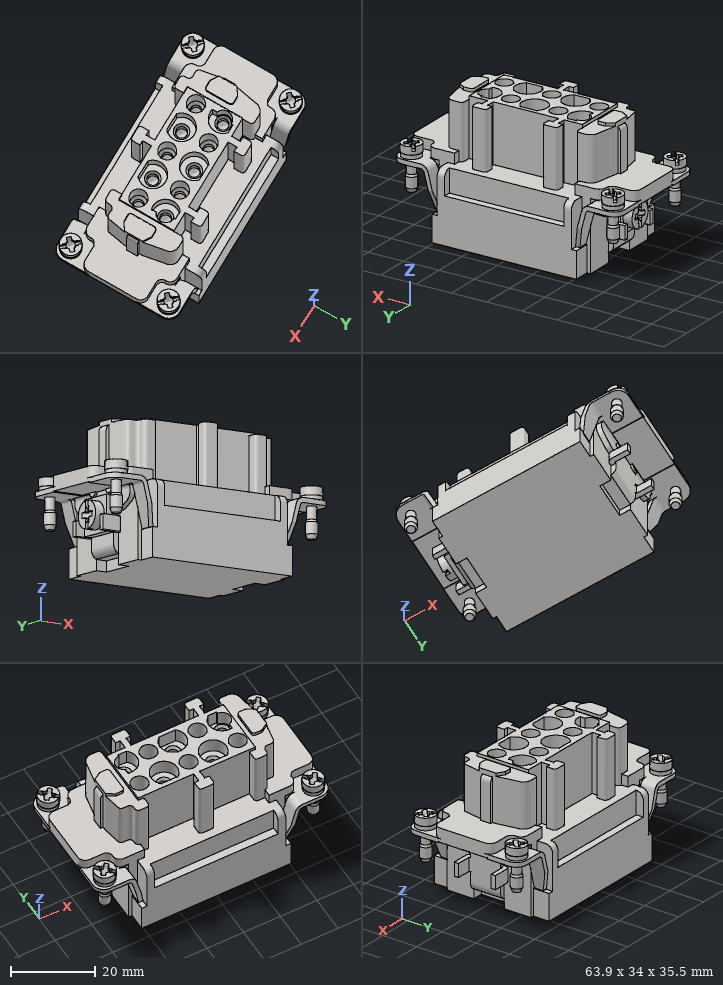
import cadquery as cq
import math

OVERALL_LENGTH = 63.85

TOP_Z = 35.55
TOWER_TOP_Z = 34.7
FLANGE_TOP_Z = 22.25
BODY_TOP_Z = 19.4
PLATE_BOTTOM_Z = 18.2
PLATE_TOP_Z = 19.45
LEDGE_Z = 12.9
FOOT_Z = 7.4

END_X = 21.4
END_HALF_WIDTH = 12.4
BODY_HALF_WIDTH = 17.0
FOOT_X = 20.4
POST_OUTER_X = 18.95
POST_INNER_X = 16.85
LEDGE_Y = 14.9
CHANNEL_DEPTH = 3.0
POST_ROUND = BODY_HALF_WIDTH - LEDGE_Y

CORE_HALF_LENGTH = 16.0
CORE_HALF_WIDTH = 7.6
RIB_HEAD_INNER_Y = 10.0
RIB_HEAD_OUTER_Y = 12.65
RIB_HEAD_WIDTH = 4.1
RIB_STEM_WIDTH = 1.65
RIB_ROUND = 0.8
UPPER_RIB_X = 10.02

CONTACT_PITCH = 6.7
CONTACT_ROW_Y = 3.73
SMALL_OPENING_DIA = 4.45
SMALL_OPENING_DEPTH = 6.0
LARGE_OPENING_DIA = 7.0
LARGE_OPENING_DEPTH = 4.0
LARGE_OPENING_FLAT = 2.7
CORNER_STEP = 0.8
LARGE_FUNNEL_DIA = 3.9
PIN_BORE_DIA = 2.85
PIN_BORE_DEPTH = 2.0
FUNNEL_DEPTH = 0.8
DRILL_TIP_DEPTH = 0.9

FLANGE_END_X = OVERALL_LENGTH / 2
FLANGE_INNER_X = 17.0
FLANGE_ROUND = 2.1
NOTCH_X = 24.55
NOTCH_Y = 8.65
NOTCH_OUTER_ROUND = 1.95
NOTCH_INNER_ROUND = 1.55
FLANGE_CENTER_BOTTOM_Z = 18.45
PLATE_HALF_WIDTH = 16.75
PLATE_INNER_Y = 7.25
PLATE_CORNER = 3.0
LEG_INNER_Y = 12.5
LEG_SLOPE = 0.265
LEG_TIP_X = 20.2
LEG_TIP_Z = 7.5
LEG_WIDTH_X = 1.25
LEG_BEND_INNER = 1.0
LEG_TAPER_Z = 13.2
LEG_TIP_OUTER_Y = 15.15
SCREW_X = 28.48
SCREW_Y = 13.48
HEAD_DIA = 5.5
HEAD_NECK_DIA = 5.3
HEAD_TOP_Z = 22.8
HEAD_STEP_Z = 20.6
SHANK_DIA = 2.5
THREAD_DIA = 3.05
THREAD_POINT_DIA = 2.13
SHANK_END_Z = 15.0
THREAD_TOP_Z = 14.4
THREAD_END_Z = 11.45
SCREW_TIP_Z = 10.3
HEAD_SLOT_WIDTH = 0.85
HEAD_SLOT_ANGLE = -45
HEAD_CROSS_LENGTH = 3.8
HEAD_CROSS_WIDTH = 1.15
DRIVE_DEPTH = 1.2
DRIVE_HOLE_DIA = 2.29
DRIVE_TIP_DEPTH = 2.2

TOWER_HALF_WIDTH = 10.45
TOWER_ROUND = 1.0
HOOK_INNER_X = 14.4
HOOK_INNER_ROUND = 0.8
HOOK_OUTER_X = 18.0
HEEL_X = 21.25
HEEL_Y = 7.9
SHOULDER_X = 21.0
SHOULDER_ROUND = 2.4
TAB_SLANT_X = 20.0
TAB_HALF_WIDTH = 3.8
TAB_FACE_X = 22.03
TAB_FACE_HALF_WIDTH = 2.5
TAB_INNER_X = 17.5
TAB_ROUND = 0.8
NOSE_X = 22.8
NOSE_HALF_WIDTH = 1.5
NOSE_TOP_Z = 34.2
NOSE_ROUND = 1.7
NOSE_SHOULDER_Z = 32.8

PAD_X = 22.8
PAD_HALF_WIDTH = 11.2
PAD_SIDE_END_Z = 16.6
PAD_SLANT_OUTER_Y = 9.9
PAD_SLANT_TOP_Z = 14.5
PAD_SLANT_INNER_Y = 7.4
PAD_SLANT_BOTTOM_Z = 13.2
PAD_BOTTOM_OUTER_Y = 6.2
PAD_BOTTOM_INNER_Y = 5.0
PAD_ROUND = 2.6
PAD_COVE_HEIGHT = 0.9
PAD_COVE_REACH = 0.6
PAD_COVE_ROUND = 0.95
PAD_BOSS_DIA = 2.5
PAD_BOSS_Y = 3.35
PAD_BOSS_Z = 18.6
BLOCK_HALF_WIDTH = 4.5
BLOCK_CURVE_TOP_Z = 4.9
BLOCK_CURVE_BOTTOM_Z = 2.7
BLOCK_CURVE_RADIUS = 2.43
CLAMP_X = 24.8
CLAMP_BOTTOM_Z = 7.75
CLAMP_TOP_Z = 16.7
LUG_X = 27.0
LUG_INNER_Y = 4.85
LUG_OUTER_Y = 6.1
LUG_TOP_Z = 11.5
LUG_ROUND = 1.1
EARTH_SCREW_X = 27.35
EARTH_SCREW_Z = 12.2
EARTH_SCREW_DIA = 7.0
EARTH_SLOT_WIDTH = 1.05
EARTH_CROSS_LENGTH = 4.2
EARTH_CROSS_WIDTH = 1.3


def box(x0, x1, y0, y1, z0, z1):
    """Axis-aligned box between two corner positions."""
    return cq.Workplane("XY").box(x1 - x0, y1 - y0, z1 - z0, centered=False).translate((x0, y0, z0))


def prism(outline, z0, z1):
    """Extrude a closed outline given on the XY plane between two heights."""
    return outline.extrude(z1 - z0).translate((0, 0, z0))


def mirrored(shape, plane):
    """A shape together with its mirror image."""
    return shape.union(shape.mirror(plane))


def both_ends(shape):
    return mirrored(shape, "YZ")


def both_sides(shape):
    return mirrored(shape, "XZ")


def make_lower_body():
    """Main block with four rounded posts, feet and recessed long sides."""
    body = box(-END_X, END_X, -END_HALF_WIDTH, END_HALF_WIDTH, 0, BODY_TOP_Z)
    body = body.union(box(-FOOT_X, FOOT_X, -BODY_HALF_WIDTH, BODY_HALF_WIDTH, 0, FOOT_Z))
    posts = box(-POST_OUTER_X, POST_OUTER_X, -BODY_HALF_WIDTH, BODY_HALF_WIDTH, 0, BODY_TOP_Z)
    posts = posts.edges("|X and >Z").fillet(POST_ROUND)
    recess = box(-POST_INNER_X, POST_INNER_X, LEDGE_Y, BODY_HALF_WIDTH, LEDGE_Z, BODY_TOP_Z)
    channel_end_x = -END_X + CHANNEL_DEPTH
    channel = box(-END_X, channel_end_x, -BLOCK_HALF_WIDTH, BLOCK_HALF_WIDTH, 0, BLOCK_CURVE_BOTTOM_Z)
    return body.union(posts).cut(both_sides(recess)).cut(both_ends(channel))


def make_t_rib(x, side):
    """T-shaped rib on the long face of the core; side is +1 or -1 along Y."""
    half_stem = RIB_STEM_WIDTH / 2
    half_head = RIB_HEAD_WIDTH / 2
    stem = box(-half_stem, half_stem, 0, RIB_HEAD_INNER_Y, BODY_TOP_Z, TOP_Z)
    head = box(-half_head, half_head, RIB_HEAD_INNER_Y, RIB_HEAD_OUTER_Y, BODY_TOP_Z, TOP_Z)
    head = head.edges("|Z and >Y").fillet(RIB_ROUND)
    rib = stem.union(head)
    if side < 0:
        rib = rib.mirror("XZ")
    return rib.translate((x, 0, 0))


def make_core():
    """Contact core with two ribs on its +Y face and one on its -Y face."""
    core = box(-CORE_HALF_LENGTH, CORE_HALF_LENGTH, -CORE_HALF_WIDTH, CORE_HALF_WIDTH, BODY_TOP_Z, TOP_Z)
    for x, side in ((-UPPER_RIB_X, 1), (UPPER_RIB_X, 1), (0, -1)):
        core = core.union(make_t_rib(x, side))
    return core


def make_bore(top_dia, opening_depth):
    """Funnel, pin bore and conical bottom below an opening, as a cutter at the origin."""
    funnel_end = -opening_depth - FUNNEL_DEPTH
    bore_end = funnel_end - PIN_BORE_DEPTH
    profile = (
        cq.Workplane("XZ")
        .moveTo(0, 0)
        .lineTo(top_dia / 2, 0)
        .lineTo(top_dia / 2, -opening_depth)
        .lineTo(PIN_BORE_DIA / 2, funnel_end)
        .lineTo(PIN_BORE_DIA / 2, bore_end)
        .lineTo(0, bore_end - DRILL_TIP_DEPTH)
        .close()
    )
    return profile.revolve(360, (0, 0, 0), (0, 1, 0))


def make_contact_cutter(column, row):
    """Cutter for one contact; large and small openings alternate along both rows."""
    is_large = (column % 2 == 0) == (row > 0)
    if not is_large:
        cutter = make_bore(SMALL_OPENING_DIA, SMALL_OPENING_DEPTH)
    else:
        radius = LARGE_OPENING_DIA / 2
        opening = cq.Workplane("XY").circle(radius).extrude(-LARGE_OPENING_DEPTH)
        flat_y = LARGE_OPENING_FLAT * row
        y_limits = sorted((flat_y, -radius * row))
        keep = box(-radius, radius, *y_limits, -LARGE_OPENING_DEPTH, 0)
        opening = opening.intersect(keep)
        if abs(column) == 2:
            outward = math.copysign(1, column)
            inner_half = box(-radius, 0, -radius, radius, -LARGE_OPENING_DEPTH, 0)
            lower_strip = box(0, CORNER_STEP, -radius, 0, -LARGE_OPENING_DEPTH, 0)
            keep = inner_half.union(lower_strip)
            if outward < 0:
                keep = keep.mirror("YZ")
            small = cq.Workplane("XY").circle(SMALL_OPENING_DIA / 2).extrude(-LARGE_OPENING_DEPTH)
            opening = opening.intersect(keep).union(small)
        cutter = opening.union(make_bore(LARGE_FUNNEL_DIA, LARGE_OPENING_DEPTH))
    return cutter.translate((column * CONTACT_PITCH, row * CONTACT_ROW_Y, TOP_Z))


def make_tower():
    """Locking tower on the -X end, with its hooked corner, raised tab and nose."""
    outline = (
        cq.Workplane("XY")
        .moveTo(-CORE_HALF_LENGTH, -CORE_HALF_WIDTH)
        .lineTo(-HOOK_INNER_X, -CORE_HALF_WIDTH)
        .lineTo(-HOOK_INNER_X, -TOWER_HALF_WIDTH + HOOK_INNER_ROUND)
        .radiusArc((-HOOK_INNER_X - HOOK_INNER_ROUND, -TOWER_HALF_WIDTH), HOOK_INNER_ROUND)
        .lineTo(-HOOK_OUTER_X + TOWER_ROUND, -TOWER_HALF_WIDTH)
        .radiusArc((-HOOK_OUTER_X, -TOWER_HALF_WIDTH + TOWER_ROUND), TOWER_ROUND)
        .lineTo(-HOOK_OUTER_X, -HEEL_Y - TOWER_ROUND)
        .radiusArc((-HOOK_OUTER_X - TOWER_ROUND, -HEEL_Y), -TOWER_ROUND)
        .lineTo(-HEEL_X + TOWER_ROUND, -HEEL_Y)
        .radiusArc((-HEEL_X, -HEEL_Y + TOWER_ROUND), TOWER_ROUND)
        .lineTo(-TAB_FACE_X, -TAB_FACE_HALF_WIDTH)
        .lineTo(-TAB_FACE_X, TAB_FACE_HALF_WIDTH)
        .lineTo(-SHOULDER_X, TOWER_HALF_WIDTH - SHOULDER_ROUND)
        .radiusArc((-SHOULDER_X + SHOULDER_ROUND, TOWER_HALF_WIDTH), SHOULDER_ROUND)
        .lineTo(-CORE_HALF_LENGTH - TOWER_ROUND, TOWER_HALF_WIDTH)
        .radiusArc((-CORE_HALF_LENGTH, TOWER_HALF_WIDTH - TOWER_ROUND), TOWER_ROUND)
        .close()
    )
    tower = prism(outline, BODY_TOP_Z, TOWER_TOP_Z)
    tab_outline = (
        cq.Workplane("XY")
        .moveTo(-TAB_INNER_X, -TAB_HALF_WIDTH)
        .lineTo(-TAB_SLANT_X, -TAB_HALF_WIDTH)
        .lineTo(-TAB_FACE_X, -TAB_FACE_HALF_WIDTH)
        .lineTo(-TAB_FACE_X, TAB_FACE_HALF_WIDTH)
        .lineTo(-TAB_SLANT_X, TAB_HALF_WIDTH)
        .lineTo(-TAB_INNER_X, TAB_HALF_WIDTH)
        .close()
    )
    tab = prism(tab_outline, TOWER_TOP_Z, TOP_Z).edges("|Z and >X").fillet(TAB_ROUND)
    nose = (
        cq.Workplane("XZ")
        .moveTo(-TAB_FACE_X, BODY_TOP_Z)
        .lineTo(-NOSE_X, BODY_TOP_Z)
        .lineTo(-NOSE_X, NOSE_SHOULDER_Z)
        .radiusArc((-TAB_FACE_X, NOSE_TOP_Z), NOSE_ROUND)
        .close()
        .extrude(NOSE_HALF_WIDTH, both=True)
    )
    return tower.union(tab).union(nose)


def make_flange():
    """Plastic flange on the -X end, notched around the two screws."""
    outline = (
        cq.Workplane("XY")
        .moveTo(-FLANGE_INNER_X, 0)
        .lineTo(-FLANGE_INNER_X, END_HALF_WIDTH)
        .lineTo(-NOTCH_X + NOTCH_OUTER_ROUND, END_HALF_WIDTH)
        .radiusArc((-NOTCH_X, END_HALF_WIDTH - NOTCH_OUTER_ROUND), -NOTCH_OUTER_ROUND)
        .lineTo(-NOTCH_X, NOTCH_Y + NOTCH_INNER_ROUND)
        .radiusArc((-NOTCH_X - NOTCH_INNER_ROUND, NOTCH_Y), NOTCH_INNER_ROUND)
        .lineTo(-FLANGE_END_X + FLANGE_ROUND, NOTCH_Y)
        .radiusArc((-FLANGE_END_X, NOTCH_Y - FLANGE_ROUND), -FLANGE_ROUND)
        .lineTo(-FLANGE_END_X, 0)
        .close()
    )
    flange = both_sides(prism(outline, BODY_TOP_Z, FLANGE_TOP_Z))
    center = box(-FLANGE_END_X, -END_X, -PLATE_INNER_Y, PLATE_INNER_Y, FLANGE_CENTER_BOTTOM_Z, PLATE_TOP_Z)
    return flange.union(center)


def make_plate():
    """Metal fixing plate at the (-X, +Y) corner with its bent, tapered leg."""
    bend_x = LEG_TIP_X + LEG_SLOPE * (PLATE_BOTTOM_Z - LEG_TIP_Z)
    top_bend_x = LEG_TIP_X - LEG_WIDTH_X + LEG_SLOPE * (PLATE_TOP_Z - LEG_TIP_Z)
    plate = box(-FLANGE_END_X, -END_X, PLATE_INNER_Y, PLATE_HALF_WIDTH, PLATE_BOTTOM_Z, PLATE_TOP_Z)
    plate = plate.edges("|Z and <X and >Y").fillet(PLATE_CORNER)
    plate = plate.cut(box(-bend_x - LEG_BEND_INNER, 0, LEG_INNER_Y, BODY_HALF_WIDTH, 0, TOP_Z))
    leg = (
        cq.Workplane("XZ", origin=(0, PLATE_HALF_WIDTH, 0))
        .moveTo(-bend_x - LEG_BEND_INNER, PLATE_BOTTOM_Z)
        .lineTo(-bend_x, PLATE_BOTTOM_Z)
        .lineTo(-LEG_TIP_X, LEG_TIP_Z)
        .lineTo(-LEG_TIP_X + LEG_WIDTH_X, LEG_TIP_Z)
        .lineTo(-top_bend_x, PLATE_TOP_Z)
        .lineTo(-bend_x - LEG_BEND_INNER, PLATE_TOP_Z)
        .close()
        .extrude(PLATE_HALF_WIDTH - LEG_INNER_Y)
    )
    bend_y = (PLATE_HALF_WIDTH + LEG_INNER_Y) / 2
    leg = leg.edges(cq.NearestToPointSelector((-bend_x, bend_y, PLATE_BOTTOM_Z))).fillet(LEG_BEND_INNER)
    outer_bend = LEG_BEND_INNER + LEG_WIDTH_X
    leg = leg.edges(cq.NearestToPointSelector((-top_bend_x, bend_y, PLATE_TOP_Z))).fillet(outer_bend)
    taper = (
        cq.Workplane("YZ")
        .moveTo(PLATE_HALF_WIDTH, LEG_TAPER_Z)
        .lineTo(LEG_TIP_OUTER_Y, LEG_TIP_Z)
        .lineTo(PLATE_HALF_WIDTH, LEG_TIP_Z)
        .close()
        .extrude(-FLANGE_END_X)
    )
    return plate.union(leg.cut(taper))


def make_drive_cutter(slot_length, slot_width, cross_length, cross_width):
    """Slot along X with a tapered cross recess and a pointed centre hole, cut down from z = 0."""
    slot = cq.Workplane("XY").rect(slot_length, slot_width).extrude(-DRIVE_DEPTH)
    cross = cq.Workplane("XY").rect(cross_width, cross_length).extrude(-DRIVE_DEPTH)
    cross = cross.union(cross.rotate((0, 0, 0), (0, 0, 1), 90))
    hole_radius = DRIVE_HOLE_DIA / 2
    taper = (
        cq.Workplane("XZ")
        .lineTo(cross_length / 2, 0)
        .lineTo(hole_radius, -DRIVE_DEPTH)
        .lineTo(0, -DRIVE_DEPTH)
        .close()
        .revolve(360, (0, 0, 0), (0, 1, 0))
    )
    hole = (
        cq.Workplane("XZ")
        .lineTo(hole_radius, 0)
        .lineTo(hole_radius, -DRIVE_DEPTH)
        .lineTo(0, -DRIVE_TIP_DEPTH)
        .close()
        .revolve(360, (0, 0, 0), (0, 1, 0))
    )
    return slot.union(cross.intersect(taper)).union(hole)


def make_fixing_screw():
    """Captive screw on the Z axis, with a stepped head and a pointed thread."""
    screw = (
        cq.Workplane("XZ")
        .moveTo(0, SCREW_TIP_Z)
        .lineTo(THREAD_POINT_DIA / 2, SCREW_TIP_Z)
        .lineTo(THREAD_DIA / 2, THREAD_END_Z)
        .lineTo(THREAD_DIA / 2, THREAD_TOP_Z)
        .lineTo(SHANK_DIA / 2, SHANK_END_Z)
        .lineTo(SHANK_DIA / 2, PLATE_BOTTOM_Z)
        .lineTo(HEAD_NECK_DIA / 2, PLATE_BOTTOM_Z)
        .lineTo(HEAD_NECK_DIA / 2, HEAD_STEP_Z)
        .lineTo(HEAD_DIA / 2, HEAD_STEP_Z)
        .lineTo(HEAD_DIA / 2, HEAD_TOP_Z)
        .lineTo(0, HEAD_TOP_Z)
        .close()
        .revolve(360, (0, 0, 0), (0, 1, 0))
    )
    drive = make_drive_cutter(HEAD_DIA, HEAD_SLOT_WIDTH, HEAD_CROSS_LENGTH, HEAD_CROSS_WIDTH)
    drive = drive.rotate((0, 0, 0), (0, 0, 1), HEAD_SLOT_ANGLE).translate((0, 0, HEAD_TOP_Z))
    return screw.cut(drive)


def make_end_pad():
    """Raised pad with its coves and bosses, centre block and clamp lugs on the -X end face."""
    pad_outline = (
        cq.Workplane("YZ", origin=(-PAD_X, 0, 0))
        .moveTo(0, PLATE_TOP_Z)
        .lineTo(PAD_HALF_WIDTH, PLATE_TOP_Z)
        .lineTo(PAD_HALF_WIDTH, PAD_SIDE_END_Z)
        .radiusArc((PAD_SLANT_OUTER_Y, PAD_SLANT_TOP_Z), PAD_ROUND)
        .lineTo(PAD_SLANT_INNER_Y, PAD_SLANT_BOTTOM_Z)
        .radiusArc((PAD_BOTTOM_OUTER_Y, LEDGE_Z), PAD_ROUND)
        .lineTo(PAD_BOTTOM_INNER_Y, LEDGE_Z)
        .lineTo(BLOCK_HALF_WIDTH, EARTH_SCREW_Z)
        .lineTo(0, EARTH_SCREW_Z)
        .close()
    )
    pad = both_sides(pad_outline.extrude(PAD_X - END_X))
    cove = (
        cq.Workplane("XZ", origin=(0, PAD_HALF_WIDTH, 0))
        .moveTo(-PAD_X, PLATE_BOTTOM_Z - PAD_COVE_HEIGHT)
        .radiusArc((-PAD_X - PAD_COVE_REACH, PLATE_BOTTOM_Z), -PAD_COVE_ROUND)
        .lineTo(-PAD_X - PAD_COVE_REACH, PLATE_TOP_Z)
        .lineTo(-PAD_X, PLATE_TOP_Z)
        .close()
        .extrude(PAD_HALF_WIDTH - BLOCK_HALF_WIDTH)
    )
    block = (
        cq.Workplane("XZ")
        .moveTo(-END_X, BLOCK_CURVE_BOTTOM_Z)
        .radiusArc((-PAD_X, BLOCK_CURVE_TOP_Z), BLOCK_CURVE_RADIUS)
        .lineTo(-PAD_X, PLATE_TOP_Z)
        .lineTo(-END_X, PLATE_TOP_Z)
        .close()
        .extrude(BLOCK_HALF_WIDTH, both=True)
    )
    boss = (
        cq.Workplane("YZ", origin=(-PAD_X - PAD_COVE_REACH, 0, 0))
        .center(PAD_BOSS_Y, PAD_BOSS_Z)
        .circle(PAD_BOSS_DIA / 2)
        .extrude(PAD_COVE_REACH)
    )
    lug_outline = (
        cq.Workplane("XY")
        .moveTo(-LUG_X, LUG_INNER_Y)
        .lineTo(-LUG_X, LUG_OUTER_Y)
        .lineTo(-END_X - LUG_ROUND, LUG_OUTER_Y)
        .radiusArc((-END_X, LUG_OUTER_Y - LUG_ROUND), LUG_ROUND)
        .lineTo(-END_X, BLOCK_HALF_WIDTH)
        .lineTo(-PAD_X, BLOCK_HALF_WIDTH)
        .lineTo(-PAD_X, LUG_INNER_Y)
        .close()
    )
    lug = prism(lug_outline, CLAMP_BOTTOM_Z, LUG_TOP_Z)
    pad = pad.union(both_sides(cove.union(boss)))
    return pad.union(block).union(both_sides(lug))


def make_earth_clamp():
    """Earth clamp block and its cross-slotted screw on the -X end."""
    clamp = box(-CLAMP_X, -END_X, -BLOCK_HALF_WIDTH, BLOCK_HALF_WIDTH, CLAMP_BOTTOM_Z, CLAMP_TOP_Z)
    head = cq.Workplane("XY").circle(EARTH_SCREW_DIA / 2).extrude(CLAMP_X - EARTH_SCREW_X)
    drive = make_drive_cutter(EARTH_SCREW_DIA, EARTH_SLOT_WIDTH, EARTH_CROSS_LENGTH, EARTH_CROSS_WIDTH)
    head = head.cut(drive)
    head = head.rotate((0, 0, 0), (0, 1, 0), -90).translate((-EARTH_SCREW_X, 0, EARTH_SCREW_Z))
    return clamp.union(head)


result = make_lower_body().union(make_core())
for end_part in (make_tower(), make_flange(), make_end_pad(), both_sides(make_plate())):
    result = result.union(both_ends(end_part))
result = result.union(make_earth_clamp())
for screw_x in (-SCREW_X, SCREW_X):
    for screw_y in (-SCREW_Y, SCREW_Y):
        result = result.union(make_fixing_screw().translate((screw_x, screw_y, 0)))
for row in (-1, 1):
    for column in range(-2, 3):
        result = result.cut(make_contact_cutter(column, row))